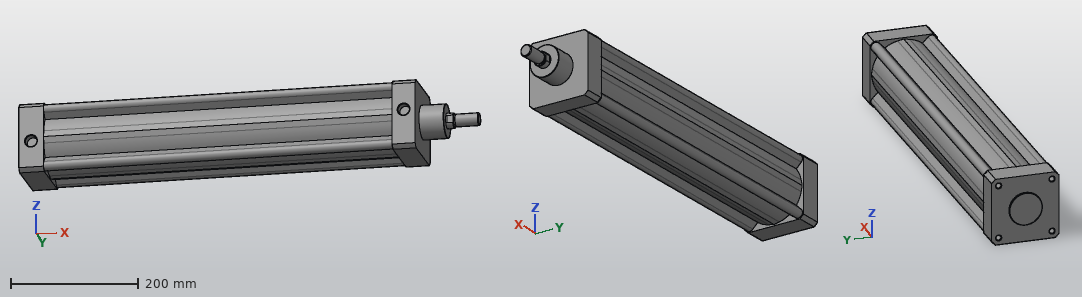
import cadquery as cq
import math

rear_boss_height = 3.0
rear_cap_length = 39.5
barrel_start = rear_boss_height + rear_cap_length
barrel_end = 604.0
front_cap_end = 641.5
nose_end = 681.0
shank_end = 693.0
thread_start = 695.0
overall_length = 733.0

cap_width = 112.0
cap_corner_radius = 75.0
boss_diameter = 55.0
boss_chamfer = 1.0
bolt_spacing = 89.0
bolt_hole_diameter = 8.0
bolt_hole_depth = 22.0
port_diameter = 18.0
port_depth = 15.0
hole_mouth_chamfer = 1.1
port_offset = 6.5

barrel_radius = 53.0
ridge_angle = 11.0
lobe_radius = 8.0
lobe_offset = 46.0

rod_diameter = 25.0
flat_width = 22.0
flat_start = 683.0
shank_chamfer = 1.0
thread_diameter = 20.5
thread_chamfer = 1.5
neck_diameter = 19.0


def yz_plane(x):
    """Workplane across the cylinder axis at x; its local axes are Y and Z."""
    return cq.Workplane("YZ", origin=(x, 0, 0))


def make_cap_block(start, end, port_z):
    """Square block with its corners turned round about the axis and a blind port in the -Y side."""
    block = yz_plane(start).rect(cap_width, cap_width).extrude(end - start)
    block = block.intersect(yz_plane(start).circle(cap_corner_radius).extrude(end - start))
    port_x = (start + end) / 2
    port_plane = cq.Workplane("XZ", origin=(port_x, -cap_width / 2, port_z))
    port = port_plane.circle(port_diameter / 2).extrude(-port_depth)
    mouth_radius = port_diameter / 2 + hole_mouth_chamfer
    port_mouth = port_plane.circle(mouth_radius).extrude(-hole_mouth_chamfer, taper=45)
    return block.cut(port).cut(port_mouth)


def make_rear_cap():
    cap = make_cap_block(rear_boss_height, barrel_start, -port_offset)
    boss = yz_plane(0).circle(boss_diameter / 2).extrude(rear_boss_height)
    boss = boss.faces("<X").chamfer(boss_chamfer)
    bolt_plane = yz_plane(rear_boss_height)
    bolt_centres = bolt_plane.rect(bolt_spacing, bolt_spacing, forConstruction=True).vertices()
    bolt_holes = bolt_centres.circle(bolt_hole_diameter / 2).extrude(bolt_hole_depth)
    mouth_radius = bolt_hole_diameter / 2 + hole_mouth_chamfer
    bolt_mouths = bolt_centres.circle(mouth_radius).extrude(hole_mouth_chamfer, taper=45)
    return cap.union(boss).cut(bolt_holes).cut(bolt_mouths)


def make_front_cap():
    cap = make_cap_block(barrel_end, front_cap_end, port_offset)
    nose = yz_plane(front_cap_end).circle(boss_diameter / 2).extrude(nose_end - front_cap_end)
    nose = nose.faces(">X").chamfer(boss_chamfer)
    rod_bore = yz_plane(barrel_end).circle(rod_diameter / 2).extrude(nose_end - barrel_end)
    return cap.union(nose).cut(rod_bore)


def make_ridge(start, length):
    """Wedge on the +Y side whose two faces run tangent to the round barrel."""
    angle = math.radians(ridge_angle)
    foot_y = barrel_radius * math.cos(angle)
    foot_z = barrel_radius * math.sin(angle)
    peak_y = barrel_radius / math.cos(angle)
    outline = [(0, 0), (foot_y, -foot_z), (peak_y, 0), (foot_y, foot_z)]
    return yz_plane(start).polyline(outline).close().extrude(length)


def make_lobe(start, length):
    """Round corner lobe on the +Y+Z diagonal with a neck as wide as the lobe."""
    reach = lobe_offset * math.sqrt(2)
    neck = yz_plane(start).rect(reach, 2 * lobe_radius).extrude(length).translate((0, reach / 2, 0))
    tip = yz_plane(start).center(reach, 0).circle(lobe_radius).extrude(length)
    return neck.union(tip).rotate((0, 0, 0), (1, 0, 0), 45)


def make_barrel():
    length = barrel_end - barrel_start
    barrel = yz_plane(barrel_start).circle(barrel_radius).extrude(length)
    ridge = make_ridge(barrel_start, length)
    lobe = make_lobe(barrel_start, length)
    for quarter in range(4):
        turn = 90 * quarter
        barrel = barrel.union(ridge.rotate((0, 0, 0), (1, 0, 0), turn))
        barrel = barrel.union(lobe.rotate((0, 0, 0), (1, 0, 0), turn))
    return barrel


def make_rod():
    shank = (
        yz_plane(barrel_end)
        .circle(rod_diameter / 2)
        .extrude(shank_end - barrel_end)
        .faces(">X")
        .chamfer(shank_chamfer)
    )
    flat_length = shank_end - flat_start
    flats = yz_plane(flat_start).rect(flat_width, rod_diameter).extrude(flat_length)
    plain_shank = yz_plane(barrel_end).circle(rod_diameter / 2).extrude(flat_start - barrel_end)
    shank = shank.intersect(plain_shank.union(flats))
    neck = yz_plane(shank_end).circle(neck_diameter / 2).extrude(thread_start - shank_end)
    thread = (
        yz_plane(thread_start)
        .circle(thread_diameter / 2)
        .extrude(overall_length - thread_start)
        .faces(">X")
        .chamfer(thread_chamfer)
        .faces("<X")
        .chamfer((thread_diameter - neck_diameter) / 2)
    )
    return shank.union(neck).union(thread)


rear_cap = make_rear_cap()
front_cap = make_front_cap()
barrel = make_barrel()
rod = make_rod()

result = cq.Compound.makeCompound([rear_cap.val(), barrel.val(), front_cap.val(), rod.val()])